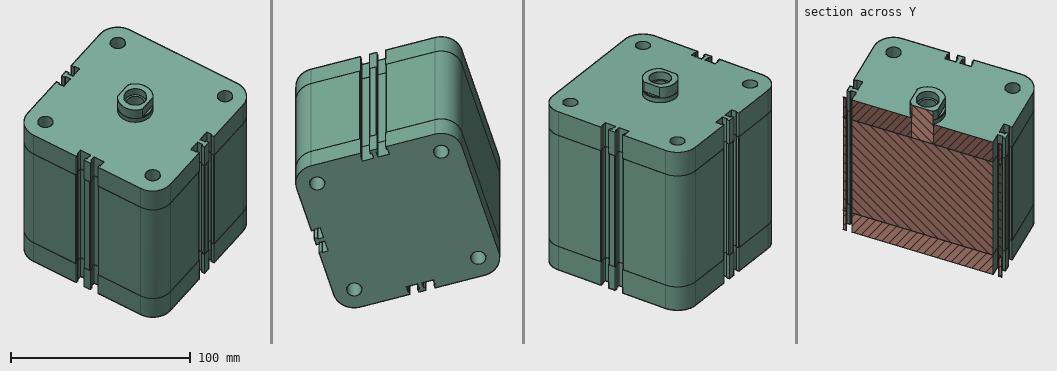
import cadquery as cq

side = 96.0
corner_radius = 12.0
total_height = 114.0
rod_protrusion = 10.0
cap_height = 15.5
housing_height = total_height - rod_protrusion
barrel_height = housing_height - 2 * cap_height
half_side = side / 2

slot_depth = 5.2
lip_thickness = 1.9
mouth_inner = 2.2
mouth_outer = 7.3
pocket_inner = 1.3
pocket_outer = 7.9
mouth_chamfer = 0.5
slotted_face_angles = (0, 90, -90)

screw_hole_diameter = 8.4
screw_hole_spacing = 72.0

rod_diameter = 20.0
rod_head_diameter = 19.8
rod_head_height = 7.1
flat_height = 6.3
across_flats = 16.9
rod_counterbore_diameter = 12.5
rod_counterbore_depth = 5.0
rod_bore_diameter = 10.1
rod_bore_depth = 20.0
rod_length = rod_protrusion + cap_height


def rounded_block(height):
    """Square block with rounded vertical corners, standing on Z = 0."""
    block = cq.Workplane("XY").box(side, side, height, centered=(True, True, False))
    return block.edges("|Z").fillet(corner_radius)


def t_slot(height, sign, chamfer):
    """One T-slot in the -Y face, to the +X (sign 1) or -X (sign -1) of its centre line."""
    face_y = -half_side
    lip_y = face_y + lip_thickness
    back_y = face_y + slot_depth
    points = [
        (mouth_inner, lip_y),
        (pocket_inner, lip_y),
        (pocket_inner, back_y),
        (pocket_outer, back_y),
        (pocket_outer, lip_y),
        (mouth_outer, lip_y),
    ]
    if chamfer > 0:
        points += [
            (mouth_outer, face_y + chamfer),
            (mouth_outer + chamfer, face_y),
            (mouth_inner - chamfer, face_y),
            (mouth_inner, face_y + chamfer),
        ]
    else:
        points += [(mouth_outer, face_y), (mouth_inner, face_y)]
    return cq.Workplane("XY").polyline([(sign * x, y) for x, y in points]).close().extrude(height)


def slotted_block(height, chamfer=0):
    """Rounded block with a pair of T-slots along three of its sides."""
    block = rounded_block(height)
    for angle in slotted_face_angles:
        for sign in (-1, 1):
            slot = t_slot(height, sign, chamfer)
            block = block.cut(slot.rotate((0, 0, 0), (0, 0, 1), angle))
    return block


def make_cap():
    """Slotted end cap with a screw hole through each corner."""
    screw_holes = (
        cq.Workplane("XY")
        .rect(screw_hole_spacing, screw_hole_spacing, forConstruction=True)
        .vertices()
        .circle(screw_hole_diameter / 2)
        .extrude(cap_height)
    )
    return slotted_block(cap_height).cut(screw_holes)


def make_bearing_cap():
    """End cap with a central hole that guides the piston rod."""
    rod_hole = cq.Workplane("XY").circle(rod_diameter / 2).extrude(cap_height)
    return make_cap().cut(rod_hole)


def make_barrel():
    """Slotted middle section; its slot mouths have chamfered edges."""
    return slotted_block(barrel_height, mouth_chamfer)


def make_rod():
    """Piston rod with a slightly slimmer head, two wrench flats and a stepped blind bore."""
    shank = cq.Workplane("XY").circle(rod_diameter / 2).extrude(rod_length - rod_head_height)
    rod = shank.faces(">Z").workplane().circle(rod_head_diameter / 2).extrude(rod_head_height)
    for sign in (-1, 1):
        flat_cutter = (
            cq.Workplane("XY")
            .box(rod_diameter, 2 * rod_diameter, flat_height, centered=(True, True, False))
            .translate((sign * (across_flats + rod_diameter) / 2, 0, rod_length - flat_height))
        )
        rod = rod.cut(flat_cutter)
    counterbore = (
        cq.Workplane("XY", origin=(0, 0, rod_length - rod_counterbore_depth))
        .circle(rod_counterbore_diameter / 2)
        .extrude(rod_counterbore_depth)
    )
    bore = (
        cq.Workplane("XY", origin=(0, 0, rod_length - rod_bore_depth))
        .circle(rod_bore_diameter / 2)
        .extrude(rod_bore_depth)
    )
    return rod.cut(counterbore).cut(bore)


bearing_cap_base = cap_height + barrel_height
end_cap = make_cap()
barrel = make_barrel().translate((0, 0, cap_height))
bearing_cap = make_bearing_cap().translate((0, 0, bearing_cap_base))
piston_rod = make_rod().translate((0, 0, bearing_cap_base))

result = cq.Compound.makeCompound([end_cap.val(), barrel.val(), bearing_cap.val(), piston_rod.val()])